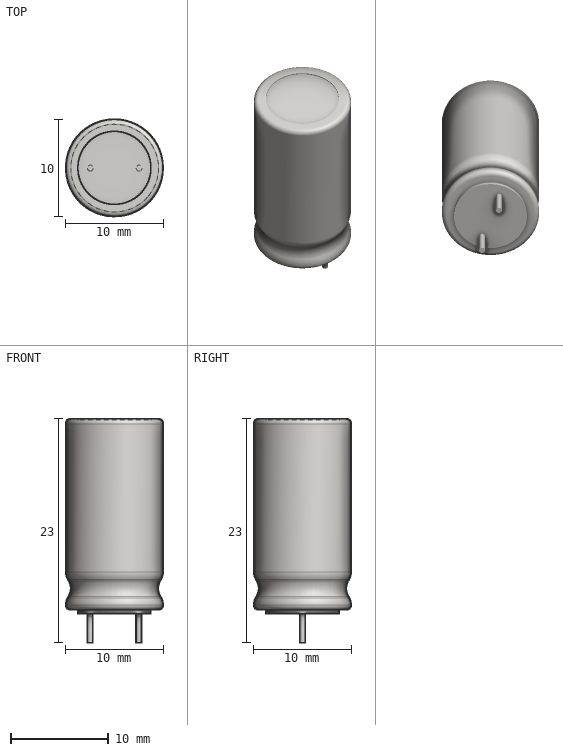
import cadquery as cq
import math


can_radius = 5.0
top_z = 20.0
edge_radius = 0.5

plug_radius = 3.75
plug_height = 0.4

recess_radius = plug_radius
recess_depth = 0.1

groove_depth = 0.5
groove_angle = math.radians(30)
shoulder_radius = 1.5
neck_radius = 1.6

lead_radius = 0.3
lead_pitch = 5.0
lead_length = 3.0

arc_drop_factor = 1 - math.cos(groove_angle)
shoulder_drop = shoulder_radius * arc_drop_factor
neck_drop = neck_radius * arc_drop_factor
shoulder_rise = shoulder_radius * math.sin(groove_angle)
neck_rise = neck_radius * math.sin(groove_angle)
flank_rise = (groove_depth - shoulder_drop - neck_drop) / math.tan(groove_angle)
groove_half_height = shoulder_rise + flank_rise + neck_rise

can_bottom_z = plug_height
groove_bottom_z = can_bottom_z + edge_radius
neck_z = groove_bottom_z + groove_half_height
groove_top_z = neck_z + groove_half_height


def arc_point(center_r, center_z, radius, angle):
    """Point (r, z) on an arc of the can profile; angle 0 points outward."""
    return (center_r + radius * math.cos(angle), center_z + radius * math.sin(angle))


def make_can():
    """Solid of revolution with rounded rims and the crimp groove."""
    rim_r = can_radius - edge_radius
    shoulder_r = can_radius - shoulder_radius
    neck_bottom_r = can_radius - groove_depth
    neck_end_r = neck_bottom_r + neck_drop
    diagonal = math.radians(45)
    half_angle = groove_angle / 2

    profile = (
        cq.Workplane("XZ")
        .moveTo(0, can_bottom_z)
        .lineTo(rim_r, can_bottom_z)
        .threePointArc(
            arc_point(rim_r, groove_bottom_z, edge_radius, -diagonal),
            (can_radius, groove_bottom_z),
        )
        .threePointArc(
            arc_point(shoulder_r, groove_bottom_z, shoulder_radius, half_angle),
            arc_point(shoulder_r, groove_bottom_z, shoulder_radius, groove_angle),
        )
        .lineTo(neck_end_r, neck_z - neck_rise)
        .threePointArc((neck_bottom_r, neck_z), (neck_end_r, neck_z + neck_rise))
        .lineTo(*arc_point(shoulder_r, groove_top_z, shoulder_radius, -groove_angle))
        .threePointArc(
            arc_point(shoulder_r, groove_top_z, shoulder_radius, -half_angle),
            (can_radius, groove_top_z),
        )
        .lineTo(can_radius, top_z - edge_radius)
        .threePointArc(
            arc_point(rim_r, top_z - edge_radius, edge_radius, diagonal),
            (rim_r, top_z),
        )
        .lineTo(0, top_z)
        .close()
    )
    return profile.revolve(360, (0, 0, 0), (0, 1, 0))


def make_top_recess():
    """Shallow disc removed from the top face."""
    return cq.Workplane("XY", origin=(0, 0, top_z - recess_depth)).circle(recess_radius).extrude(recess_depth)


def make_plug():
    """Sealing plug, from the seating plane up to the can."""
    return cq.Workplane("XY").circle(plug_radius).extrude(plug_height)


def make_leads():
    """Two round leads along X, hanging below the plug."""
    return (
        cq.Workplane("XY")
        .pushPoints([(-lead_pitch / 2, 0), (lead_pitch / 2, 0)])
        .circle(lead_radius)
        .extrude(-lead_length)
    )


result = make_can().cut(make_top_recess()).union(make_plug()).union(make_leads())